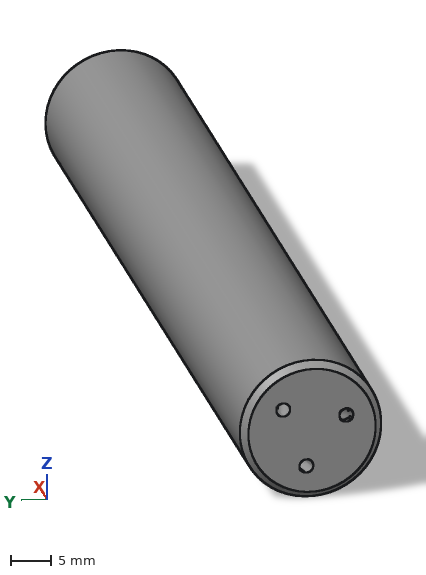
import cadquery as cq
import math

rod_length = 120.0
rod_diameter = 18.0
chamfer_size = 0.9

channel_count = 3
channel_diameter = 1.75
channel_circle_radius = 4.7
first_channel_angle = 38.7
helix_angle = 30.0

full_turn = 360.0
channel_spacing = full_turn / channel_count
helix_pitch = math.pi * rod_diameter / math.tan(math.radians(helix_angle))
channel_twist = full_turn * rod_length / helix_pitch


def make_rod():
    rod = cq.Workplane("YZ").circle(rod_diameter / 2).extrude(rod_length)
    return rod.faces("<X").chamfer(chamfer_size)


def make_channel(start_angle):
    """Right-hand helical channel around the rod axis."""
    channel = (
        cq.Workplane("YZ")
        .center(channel_circle_radius, 0)
        .circle(channel_diameter / 2)
        .center(-channel_circle_radius, 0)
        .twistExtrude(rod_length, channel_twist)
    )
    return channel.rotate((0, 0, 0), (1, 0, 0), start_angle)


result = make_rod()
for index in range(channel_count):
    result = result.cut(make_channel(first_channel_angle + index * channel_spacing))